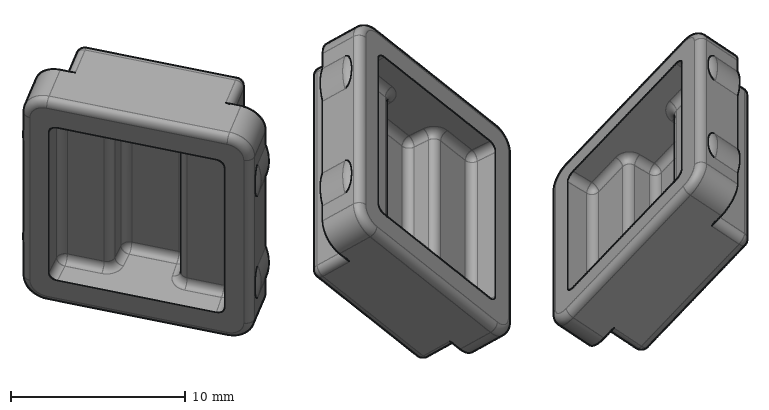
import cadquery as cq
import math

overall_width = 14.2
plate_width = 13.8
plate_depth = 2.8
height = 15.8
plate_corner_radius = 1.5
edge_radius = 0.5

block_width = 10.0
block_depth = 2.5

pocket_width = 10.5
pocket_height = 12.01
side_depth = 1.8
channel_width = 4.0
channel_depth = 1.99
draft_angle = 3.0

bump_height = (overall_width - plate_width) / 2
bump_width = 2.5
bump_spacing = 8.0
bump_straight = 1.66
bump_end_radius = 0.76
bump_root = 0.47

front_y = -plate_depth


def make_body():
    """Rounded plate in front of Y = 0 with a narrower block behind it."""
    plate = (
        cq.Workplane("XY")
        .box(plate_width, plate_depth, height)
        .translate((0, front_y / 2, 0))
        .edges("|Y")
        .fillet(plate_corner_radius)
        .faces("<Y")
        .edges()
        .fillet(edge_radius)
    )
    block = (
        cq.Workplane("XY")
        .box(block_width, block_depth, height)
        .translate((0, block_depth / 2, 0))
        .edges("|Y or >Y")
        .fillet(edge_radius)
    )
    return plate.union(block)


def make_pocket():
    """Pocket volume: two shallow side floors with a deeper channel between."""
    slope = math.tan(math.radians(draft_angle))
    half_top = pocket_width / 2
    half_floor = half_top - side_depth * slope
    half_channel = channel_width / 2
    half_channel_floor = half_channel - channel_depth * slope
    side_y = front_y + side_depth
    channel_y = side_y + channel_depth
    right_half = [
        (half_channel_floor, channel_y),
        (half_channel, side_y),
        (half_floor, side_y),
        (half_top, front_y),
    ]
    left_half = [(-x, y) for x, y in reversed(right_half)]
    pocket = (
        cq.Workplane("XY", origin=(0, 0, -pocket_height / 2))
        .polyline(right_half + left_half)
        .close()
        .extrude(pocket_height)
    )
    floor_zone = cq.selectors.BoxSelector(
        (-half_top, front_y + side_depth / 2, -height),
        (half_top, block_depth, height),
    )
    pocket = pocket.edges("|Z").edges(floor_zone).fillet(edge_radius)
    return pocket.faces("<Z or >Z").edges("not <Y").fillet(edge_radius)


def make_bump(side, z):
    """Shallow cylindrical pad, rounded down at the front of the plate."""
    radius = ((bump_width / 2) ** 2 + bump_height**2) / (2 * bump_height)
    axis_x = plate_width / 2 + bump_height - radius
    pad = (
        cq.Workplane("XZ", origin=(side * axis_x, 0, z))
        .circle(radius)
        .extrude(bump_straight + bump_end_radius)
        .faces("<Y")
        .edges()
        .fillet(bump_end_radius)
    )
    keep = cq.Workplane("XY").box(2 * bump_root, height, bump_width)
    return pad.intersect(keep.translate((side * plate_width / 2, 0, z)))


result = make_body()
for side in (-1, 1):
    for z in (-bump_spacing / 2, bump_spacing / 2):
        result = result.union(make_bump(side, z))
result = result.cut(make_pocket())